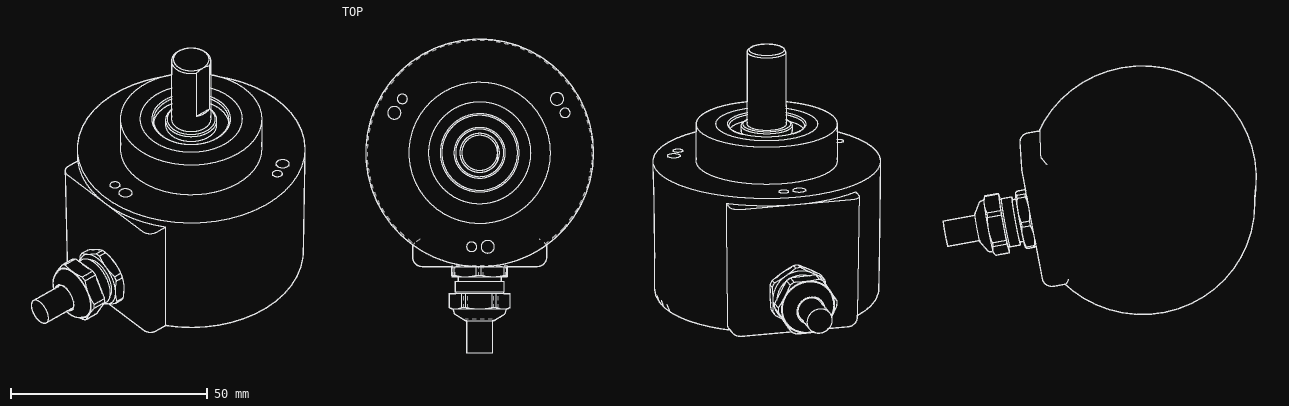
import cadquery as cq
import math

cover_height = 35.1
cover_radius = 29.0
draft_angle = 0.7
cover_base_fillet = 3.0
block_half_width = 17.1
block_edge_radius = 2.5
flange_thickness = 2.0
boss_radius = 18.0
boss_height = 10.0
flange_top = cover_height + flange_thickness
boss_top = flange_top + boss_height

hole_circle_radius = 24.0
hole_pair_count = 3
hole_half_spread = 4.9
wide_hole_radius = 1.65
narrow_hole_radius = 1.25
hole_depth = 8.0
drill_point_angle = 118.0

bearing_radius = 13.0
bearing_width = 8.0
bearing_groove_outer = 9.6
bearing_groove_inner = 6.5
bearing_groove_depth = 2.0
bearing_chamfer = 0.4
shaft_radius = 5.0
shaft_length = 20.0
shaft_chamfer = 0.5
shaft_flat_offset = 4.5
shaft_flat_length = 15.0
shaft_top = boss_top + shaft_length

gland_height = 11.1
gland_start = 28.7
nut_end = 31.6
neck_end = 32.7
collar_end = 35.4
cap_start = 35.85
cap_hex_end = 39.8
dome_start = 40.5
dome_shoulder = 41.2
dome_end = 42.75
cable_end = 51.0

hex_across_flats = 14.0
hex_corner_radius = 7.75
hex_chamfer_length = 0.4
hex_end_radius = 7.0
hex_twist = 2.0
hex_sides = 6
half_hex_step = 180 / hex_sides
neck_radius = 5.5
collar_radius = 6.25
undercut_radius = 6.1
cap_rim_radius = 6.8
dome_start_radius = 6.6
dome_shoulder_radius = 6.2
dome_mid_radius = 6.5
mouth_radius = 3.65
mouth_depth = 0.5
cable_radius = 3.3


def drilled_hole(radius, angle):
    """Cutter for a blind hole with a conical drill point, on the hole circle."""
    point_length = radius / math.tan(math.radians(drill_point_angle / 2))
    profile = [(0, 0), (radius, 0), (radius, -hole_depth), (0, -hole_depth - point_length)]
    cutter = cq.Workplane("XZ").polyline(profile).close().revolve(360, (0, 0), (0, 1))
    x = hole_circle_radius * math.cos(math.radians(angle))
    y = hole_circle_radius * math.sin(math.radians(angle))
    return cutter.translate((x, y, flange_top))


def make_cup():
    """Round part of the cover, tapering downwards to a rounded base edge."""
    return (
        cq.Workplane("XY", origin=(0, 0, cover_height))
        .circle(cover_radius)
        .extrude(-cover_height, taper=draft_angle)
        .faces("<Z").edges().fillet(cover_base_fillet)
    )


def make_block():
    """Flat-faced block on the -Y side of the cover, with the same taper as the cup."""
    block = (
        cq.Workplane("XY", origin=(0, -cover_radius / 2, cover_height))
        .rect(2 * block_half_width, cover_radius)
        .extrude(-cover_height, taper=draft_angle)
    )
    front_corners = block.edges("not(|X or |Y)").edges("<Y")
    return front_corners.fillet(block_edge_radius).faces("<Z").edges().fillet(block_edge_radius)


def make_housing():
    """Cover, flange and boss in one piece, with the flange holes and the bearing seat."""
    flange = cq.Workplane("XY", origin=(0, 0, cover_height)).circle(cover_radius).extrude(flange_thickness)
    boss = cq.Workplane("XY", origin=(0, 0, flange_top)).circle(boss_radius).extrude(boss_height)
    body = make_cup().union(make_block()).union(flange).union(boss)

    for pair in range(hole_pair_count):
        pair_angle = -90 + pair * 360 / hole_pair_count
        body = body.cut(drilled_hole(wide_hole_radius, pair_angle + hole_half_spread))
        body = body.cut(drilled_hole(narrow_hole_radius, pair_angle - hole_half_spread))

    bearing_seat = cq.Workplane("XY", origin=(0, 0, boss_top)).circle(bearing_radius).extrude(-bearing_width)
    return body.cut(bearing_seat)


def make_bearing_shaft():
    """Bearing and shaft turned as one piece, with a flat along the upper shaft on the +X side."""
    groove_floor = boss_top - bearing_groove_depth
    profile = [
        (0, boss_top - bearing_width),
        (bearing_radius, boss_top - bearing_width),
        (bearing_radius, boss_top),
        (bearing_groove_outer + bearing_chamfer, boss_top),
        (bearing_groove_outer, boss_top - bearing_chamfer),
        (bearing_groove_outer, groove_floor),
        (bearing_groove_inner, groove_floor),
        (bearing_groove_inner, boss_top - bearing_chamfer),
        (bearing_groove_inner - bearing_chamfer, boss_top),
        (shaft_radius, boss_top),
        (shaft_radius, shaft_top - shaft_chamfer),
        (shaft_radius - shaft_chamfer, shaft_top),
        (0, shaft_top),
    ]
    turned = cq.Workplane("XZ").polyline(profile).close().revolve(360, (0, 0), (0, 1))
    flat_cutter = (
        cq.Workplane("XY", origin=(0, 0, shaft_top))
        .rect(shaft_radius, 2 * shaft_radius)
        .extrude(-shaft_flat_length)
        .translate((shaft_flat_offset + shaft_radius / 2, 0, 0))
    )
    return turned.cut(flat_cutter)


def gland_plane(station):
    """Workplane across the gland axis at a station, facing outwards along -Y."""
    return cq.Workplane("XZ", origin=(0, -station, gland_height))


def gland_disc(radius, start, end):
    return gland_plane(start).circle(radius).extrude(end - start)


def turned_on_gland_axis(outline):
    """Revolve a closed outline, drawn as radius along X and station along -Y."""
    return outline.close().revolve(360, (0, 0), (0, 1)).translate((0, 0, gland_height))


def gland_hex(start, end, angle, chamfer_start):
    """Hexagon with rounded corners, chamfered at the outer end and, if asked, at the start too."""
    hexagon = (
        gland_plane(start)
        .transformed(rotate=(0, 0, angle))
        .polygon(hex_sides, hex_across_flats, circumscribed=True)
        .extrude(end - start)
    )
    start_radius = hex_end_radius if chamfer_start else hex_corner_radius
    envelope = (
        cq.Workplane("XY")
        .moveTo(0, -start)
        .lineTo(start_radius, -start)
        .lineTo(hex_corner_radius, -start - hex_chamfer_length)
        .lineTo(hex_corner_radius, -end + hex_chamfer_length)
        .lineTo(hex_end_radius, -end)
        .lineTo(0, -end)
    )
    return hexagon.intersect(turned_on_gland_axis(envelope))


def make_gland():
    """Lock nut, neck, collar, hexagonal domed cap and the cable leaving its mouth."""
    dome = (
        cq.Workplane("XY")
        .moveTo(0, -cap_hex_end)
        .lineTo(cap_rim_radius, -cap_hex_end)
        .lineTo(dome_start_radius, -dome_start)
        .threePointArc(
            (dome_mid_radius, -(dome_start + dome_shoulder) / 2),
            (dome_shoulder_radius, -dome_shoulder),
        )
        .lineTo(mouth_radius, -dome_end)
        .lineTo(0, -dome_end)
    )
    return (
        gland_hex(gland_start, nut_end, hex_twist, True)
        .union(gland_disc(neck_radius, nut_end, neck_end))
        .union(gland_disc(collar_radius, neck_end, collar_end))
        .union(gland_disc(undercut_radius, collar_end, cap_start))
        .union(gland_hex(cap_start, cap_hex_end, hex_twist + half_hex_step, False))
        .union(turned_on_gland_axis(dome))
        .cut(gland_disc(mouth_radius, dome_end - mouth_depth, dome_end))
        .union(gland_disc(cable_radius, dome_end - mouth_depth, cable_end))
    )


bearing_shaft = make_bearing_shaft()
gland = make_gland()
housing = make_housing().cut(gland)

result = cq.Compound.makeCompound([body.solids().val() for body in (housing, bearing_shaft, gland)])